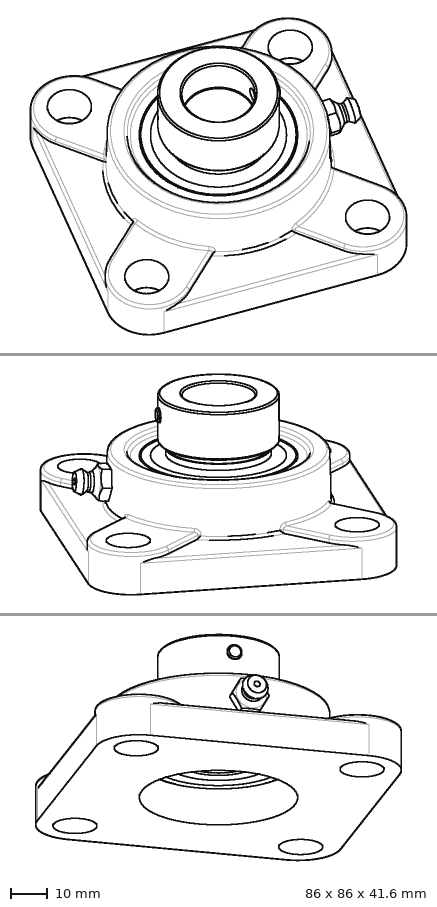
import cadquery as cq
import math

FLANGE_SIDE = 86.0
CORNER_RADIUS = 12.0
PLATE_TOP = 10.0
PAD_TOP = 12.0
BOLT_PITCH = 64.0
BOLT_HOLE_DIA = 12.0
CAST_ROUND = 0.9
PAD_ANGLES = (45, 135)

BOSS_FOOT_RADIUS = 30.9
BOSS_TOP_RADIUS = 30.45
BOSS_TOP = 25.4
MOUTH_DIA = 50.1
MOUTH_ROUND = 0.9

BEARING_FACE = BOSS_TOP - 2 * MOUTH_ROUND
BEARING_BOTTOM = 10.3
OUTER_RING_DIA = 43.35
OUTER_RING_CHAMFER = 0.4
SHIELD_DIA = 37.2
SHIELD_THICKNESS = 1.7
SHIELD_RISE = 0.6
SHOULDER_DIA = 29.0
SHOULDER_TOP = 26.1
NECK_DIA = 27.95
SPIGOT_DIA = 25.9
SPIGOT_TOP = 31.9
SHAFT_DIA = 20.0
SHAFT_CHAMFER = 0.5

COLLAR_DIA = 33.3
COLLAR_BOTTOM = 27.8
COLLAR_TOP = 41.6
COLLAR_CHAMFER = 0.5
SCREW_DIA = 4.1
SCREW_Z = 36.5
SCREW_INNER_Y = 12.0
SCREW_OUTER_Y = 17.4
SCREW_CHAMFER = 0.4

NIPPLE_BASE_Y = 30.9
NIPPLE_BASE_Z = 18.1
NIPPLE_TILT = 5.0
HEX_SIDES = 6
HEX_FLATS = 9.1
HEX_LENGTH = 3.2
HEX_CHAMFER_ANGLE = 30.0
CONE_FOOT_RADIUS = 4.3
CONE_END = 4.6
COLLET_RADIUS = 3.0
GROOVE_RADIUS = 2.7
GROOVE_START = 5.4
GROOVE_END = 6.1
HEAD_RADIUS = 3.6
HEAD_WIDEST = 7.6
HEAD_END = 9.5
HEAD_FACE_RADIUS = 2.7
STEM_DIA = 4.1
STEM_LENGTH = 5.2
BALL_DIA = 2.0
BALL_PROTRUSION = 0.4


def cylinder(diameter, bottom, top):
    """Upright cylinder on the Z axis."""
    return cq.Workplane("XY").workplane(offset=bottom).circle(diameter / 2).extrude(top - bottom)


def revolve_upright(outline):
    """Revolve a closed outline of (radius, height) points about the Z axis."""
    return cq.Workplane("XZ").polyline(outline).close().revolve()


def nipple_frame():
    """Workplane on the hexagon seating face, facing outward along the tilted nipple axis."""
    tilt = math.radians(NIPPLE_TILT)
    return cq.Workplane(
        cq.Plane(
            origin=(0, NIPPLE_BASE_Y, NIPPLE_BASE_Z),
            xDir=(1, 0, 0),
            normal=(0, math.cos(tilt), math.sin(tilt)),
        )
    )


def revolve_on_nipple_axis(outline):
    """Revolve (radius, distance) points about the nipple axis."""
    frame = nipple_frame().plane
    side = cq.Plane(origin=frame.origin, xDir=frame.xDir, normal=-frame.yDir)
    return cq.Workplane(side).polyline(outline).close().revolve(360, (0, 0), (0, 1))


def nipple_blank():
    """Complete nipple without the pocket for its ball."""
    hexagon_corners = HEX_FLATS / math.cos(math.pi / HEX_SIDES)
    corner_radius = hexagon_corners / 2
    chamfer_drop = (corner_radius - CONE_FOOT_RADIUS) * math.tan(math.radians(HEX_CHAMFER_ANGLE))
    chamfer_envelope = revolve_on_nipple_axis([
        (0, 0),
        (corner_radius, 0),
        (corner_radius, HEX_LENGTH - chamfer_drop),
        (CONE_FOOT_RADIUS, HEX_LENGTH),
        (0, HEX_LENGTH),
    ])
    hexagon = nipple_frame().polygon(HEX_SIDES, hexagon_corners).extrude(HEX_LENGTH).intersect(chamfer_envelope)
    turned = revolve_on_nipple_axis([
        (0, -STEM_LENGTH),
        (STEM_DIA / 2, -STEM_LENGTH),
        (STEM_DIA / 2, HEX_LENGTH),
        (CONE_FOOT_RADIUS, HEX_LENGTH),
        (COLLET_RADIUS, CONE_END),
        (GROOVE_RADIUS, GROOVE_START),
        (GROOVE_RADIUS, GROOVE_END),
        (HEAD_RADIUS, HEAD_WIDEST),
        (HEAD_FACE_RADIUS, HEAD_END),
        (0, HEAD_END),
    ])
    return turned.union(hexagon)


def make_ball():
    ball_centre = HEAD_END + BALL_PROTRUSION - BALL_DIA / 2
    return nipple_frame().workplane(offset=ball_centre).sphere(BALL_DIA / 2)


def make_nipple():
    return nipple_blank().cut(make_ball())


def flange_plate():
    return (
        cq.Workplane("XY")
        .rect(FLANGE_SIDE, FLANGE_SIDE)
        .extrude(PLATE_TOP)
        .edges("|Z")
        .fillet(CORNER_RADIUS)
        .faces(">Z")
        .edges()
        .fillet(CAST_ROUND)
    )


def pad_strip(angle):
    """Raised strip across the flange whose ends form the pads at two opposite corners."""
    reach = (FLANGE_SIDE / 2 - CORNER_RADIUS) * math.sqrt(2)
    pad = cq.Workplane("XY").slot2D(2 * (reach + CORNER_RADIUS), 2 * CORNER_RADIUS).extrude(PAD_TOP)
    pad = pad.faces(">Z").edges().fillet(CAST_ROUND)
    return pad.rotate((0, 0, 0), (0, 0, 1), angle)


def boss():
    blank = revolve_upright([
        (0, 0),
        (BOSS_FOOT_RADIUS, 0),
        (BOSS_FOOT_RADIUS, PLATE_TOP),
        (BOSS_TOP_RADIUS, BOSS_TOP),
        (0, BOSS_TOP),
    ])
    return blank.faces(">Z").edges().fillet(CAST_ROUND)


def round_boss_foot(casting):
    """Round the inside corner that runs around the boss over the plate and the pads."""
    reach = BOSS_FOOT_RADIUS + CAST_ROUND
    margin = CAST_ROUND / 2
    foot_zone = cq.selectors.BoxSelector(
        (-reach, -reach, PLATE_TOP - margin),
        (reach, reach, PAD_TOP + margin),
        boundingbox=True,
    )
    return casting.edges(foot_zone).fillet(CAST_ROUND)


def bearing_mouth():
    """Recess above the bearing: a round at the lip runs into a hollow round at the floor."""
    wall = MOUTH_DIA / 2
    floor_edge = wall - MOUTH_ROUND
    lip_edge = wall + MOUTH_ROUND
    mid_height = BEARING_FACE + MOUTH_ROUND
    arc_offset = MOUTH_ROUND * math.sin(math.radians(45))
    return (
        cq.Workplane("XZ")
        .moveTo(0, BEARING_FACE)
        .lineTo(floor_edge, BEARING_FACE)
        .threePointArc((floor_edge + arc_offset, mid_height - arc_offset), (wall, mid_height))
        .threePointArc((lip_edge - arc_offset, mid_height + arc_offset), (lip_edge, BOSS_TOP))
        .lineTo(0, BOSS_TOP)
        .close()
        .revolve()
    )


def bolt_holes():
    corners = cq.Workplane("XY").rect(BOLT_PITCH, BOLT_PITCH, forConstruction=True).vertices()
    return corners.circle(BOLT_HOLE_DIA / 2).extrude(PAD_TOP)


def make_housing():
    casting = flange_plate()
    for angle in PAD_ANGLES:
        casting = casting.union(pad_strip(angle))
    casting = round_boss_foot(casting.union(boss()))
    return (
        casting
        .cut(bearing_mouth())
        .cut(cylinder(OUTER_RING_DIA, 0, BEARING_FACE))
        .cut(bolt_holes())
        .cut(nipple_blank())
    )


def make_outer_ring():
    ring = cylinder(OUTER_RING_DIA, BEARING_BOTTOM, BEARING_FACE)
    ring = ring.faces("<Z or >Z").edges().chamfer(OUTER_RING_CHAMFER)
    return ring.cut(cylinder(SHIELD_DIA, BEARING_BOTTOM, BEARING_FACE))


def make_shield():
    """Slightly conical disc that closes the gap between the bearing rings."""
    return revolve_upright([
        (SHOULDER_DIA / 2, BEARING_FACE - SHIELD_THICKNESS),
        (SHIELD_DIA / 2, BEARING_FACE - SHIELD_THICKNESS),
        (SHIELD_DIA / 2, BEARING_FACE),
        (SHOULDER_DIA / 2, BEARING_FACE + SHIELD_RISE),
    ])


def make_inner_ring():
    ring = cylinder(SHOULDER_DIA, BEARING_BOTTOM, SHOULDER_TOP)
    ring = ring.union(cylinder(NECK_DIA, SHOULDER_TOP, COLLAR_BOTTOM))
    ring = ring.union(cylinder(SPIGOT_DIA, COLLAR_BOTTOM, SPIGOT_TOP))
    ring = ring.cut(cylinder(SHAFT_DIA, BEARING_BOTTOM, SPIGOT_TOP))
    return ring.faces("<Z or >Z").edges(cq.selectors.RadiusNthSelector(0)).chamfer(SHAFT_CHAMFER)


def screw_cylinder(start_y, end_y):
    """Cylinder of the set screw diameter along +Y."""
    return (
        cq.Workplane("XZ", origin=(0, start_y, SCREW_Z)).circle(SCREW_DIA / 2).extrude(start_y - end_y)
    )


def make_collar():
    collar = cylinder(COLLAR_DIA, COLLAR_BOTTOM, COLLAR_TOP)
    collar = collar.faces("<Z or >Z").edges().chamfer(COLLAR_CHAMFER)
    collar = collar.cut(cylinder(SHAFT_DIA, COLLAR_BOTTOM, COLLAR_TOP))
    collar = collar.faces(">Z").edges(cq.selectors.RadiusNthSelector(0)).chamfer(SHAFT_CHAMFER)
    collar = collar.cut(cylinder(SPIGOT_DIA, COLLAR_BOTTOM, SPIGOT_TOP))
    return collar.cut(screw_cylinder(0, SCREW_OUTER_Y))


def make_set_screw():
    return screw_cylinder(SCREW_INNER_Y, SCREW_OUTER_Y).faces(">Y").edges().chamfer(SCREW_CHAMFER)


housing = make_housing()
outer_ring = make_outer_ring()
shield = make_shield()
inner_ring = make_inner_ring()
collar = make_collar()
set_screw = make_set_screw()
nipple = make_nipple()
ball = make_ball()

result = cq.Compound.makeCompound([
    housing.val(),
    outer_ring.val(),
    shield.val(),
    inner_ring.val(),
    collar.val(),
    set_screw.val(),
    nipple.val(),
    ball.val(),
])